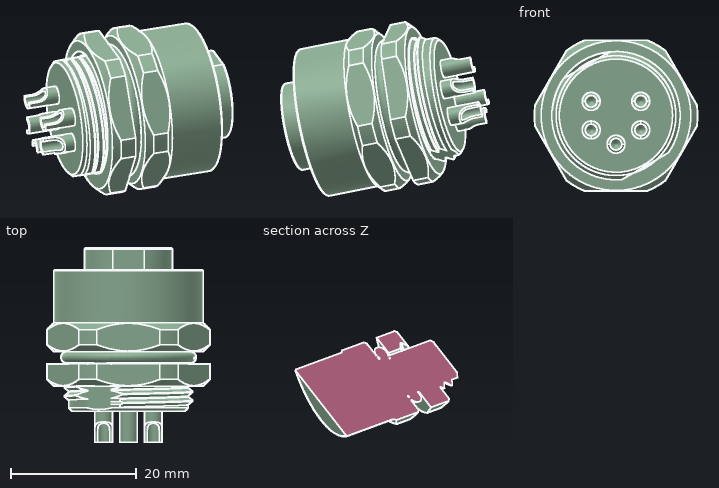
import cadquery as cq
import math


plate_face = 4.95
nut_face = 8.95
nut_height = 3.55
flange_face = 14.45
flange_height = 4.58
shell_end = 27.48
overall_length = 30.95

across_flats = 24.0
corner_diameter = 26.0
hex_chamfer = 1.08

shell_radius = 11.92
socket_radius = 7.03
socket_key_flat = 6.55
edge_chamfer = 0.2

ring_outer_radius = 10.77
ring_section_radius = 0.93

thread_root_radius = 9.53
thread_crest_radius = 10.2
thread_turns = 3.0
thread_length = 4.25
thread_pitch = thread_length / thread_turns
thread_base_width = 1.27
thread_crest_width = 0.14
thread_start_angle = 98.0
thread_start = 6.25
lead_in_width = 0.4
lead_in_overlap = 2.0
thread_embed = 0.05
foot_radius = thread_root_radius - thread_embed
shank_chamfer = 0.53
shank_flat_distance = 9.3
shank_flat_angles = (120.0, 300.0)

pin_circle_radius = 4.55
pin_radius = 1.42
pin_bore_radius = 0.93
pin_bore_depth = plate_face
pin_root_depth = 0.62
drill_point_angle = 118.0
cup_flat_length = 1.35
cup_blend_radius = 1.98
pin_layout = ((30.0, 90.0), (150.0, 90.0), (210.0, 180.0), (270.0, 270.0), (330.0, 0.0))


def place_on_axis(solid, start):
    """Turn a solid built along +Z so that it runs along +Y from the given station."""
    return solid.rotate((0, 0, 0), (1, 0, 0), -90).translate((0, start, 0))


def cylinder(radius, start, end):
    return place_on_axis(cq.Workplane("XY").circle(radius).extrude(end - start), start)


def hex_body(start, height, chamfer_far_side):
    """Hexagon with flats facing +Z and -Z, its corners rounded and turned down by 45 degrees."""
    across_corners = across_flats / math.cos(math.pi / 6)
    hexagon = cq.Workplane("XY").polygon(6, across_corners).extrude(height)
    blank = cq.Workplane("XY").circle(corner_diameter / 2).extrude(height)
    turned_faces = "<Z or >Z" if chamfer_far_side else "<Z"
    blank = blank.faces(turned_faces).chamfer(hex_chamfer)
    return place_on_axis(hexagon.intersect(blank), start)


def shell():
    return cylinder(shell_radius, flange_face, shell_end).faces(">Y").chamfer(edge_chamfer)


def socket():
    """Round boss with one flat on its +Z side."""
    boss = cylinder(socket_radius, shell_end, overall_length)
    width = 2 * socket_radius
    keep = (
        cq.Workplane("XY", origin=(0, overall_length / 2, socket_key_flat - width / 2))
        .box(width, overall_length, width)
    )
    return boss.intersect(keep).faces(">Y").chamfer(edge_chamfer)


def sealing_ring():
    centre_radius = ring_outer_radius - ring_section_radius
    centre_station = flange_face - ring_section_radius
    return (
        cq.Workplane("XY", origin=(centre_radius, centre_station, 0))
        .circle(ring_section_radius)
        .revolve(360, (-centre_radius, 0, 0), (-centre_radius, 1, 0))
    )


def thread():
    """V-shaped helical ridge, built along +Z and then laid along the connector axis."""
    flank_run = (thread_base_width - thread_crest_width) / (thread_crest_radius - thread_root_radius)
    foot_width = thread_base_width + thread_embed * flank_run
    helix = cq.Wire.makeHelix(thread_pitch, thread_length, thread_root_radius)
    ridge = (
        cq.Workplane("XZ")
        .polyline([
            (foot_radius, -foot_width / 2),
            (thread_crest_radius, -thread_crest_width / 2),
            (thread_crest_radius, thread_crest_width / 2),
            (foot_radius, foot_width / 2),
        ])
        .close()
        .sweep(cq.Workplane(obj=helix), isFrenet=True)
    )
    return place_on_axis(ridge, thread_start).rotate((0, 0, 0), (0, 1, 0), -thread_start_angle)


def lead_in():
    """Narrow rib that carries the start of the thread on to the edge of the shank flat."""
    sweep = shank_flat_angles[0] - thread_start_angle + lead_in_overlap
    return (
        cq.Workplane("XY")
        .moveTo(foot_radius, -lead_in_width / 2)
        .lineTo(thread_crest_radius, -lead_in_width / 2)
        .lineTo(thread_crest_radius, lead_in_width / 2)
        .lineTo(foot_radius, lead_in_width / 2)
        .close()
        .revolve(sweep, (0, 0, 0), (0, -1, 0))
        .rotate((0, 0, 0), (0, 1, 0), lead_in_overlap - thread_start_angle)
        .translate((0, thread_start, 0))
    )


def beyond_flat(angle):
    """Block holding everything outside the shank flat at the given angle."""
    return (
        cq.Workplane("XY", origin=(shank_flat_distance, 0, 0))
        .box(
            shank_flat_distance, 2 * flange_face, 2 * shank_flat_distance,
            centered=(False, True, True),
        )
        .rotate((0, 0, 0), (0, 1, 0), -angle)
    )


def cup_bore():
    """Drilled bore with a conical bottom, entering from the pin tip at Y = 0."""
    point_depth = pin_bore_radius / math.tan(math.radians(drill_point_angle / 2))
    return (
        cq.Workplane("XY")
        .polyline([
            (0, 0),
            (pin_bore_radius, 0),
            (pin_bore_radius, pin_bore_depth),
            (0, pin_bore_depth + point_depth),
        ])
        .close()
        .revolve(360, (0, 0, 0), (0, 1, 0))
    )


def pin_post():
    """Round post whose +X half is cut away at the tip and blended back out by an arc."""
    diagonal = cup_blend_radius * math.sqrt(0.5)
    cup_opening = (
        cq.Workplane("XY", origin=(0, 0, -pin_radius))
        .lineTo(0, cup_flat_length)
        .threePointArc(
            (cup_blend_radius - diagonal, cup_flat_length + diagonal),
            (cup_blend_radius, cup_flat_length + cup_blend_radius),
        )
        .lineTo(cup_blend_radius, 0)
        .close()
        .extrude(2 * pin_radius)
    )
    return cylinder(pin_radius, 0, plate_face + pin_root_depth).cut(cup_opening)


def place_pin(solid, angle, opening_direction):
    """Turn a pin so that its cup opens in the given direction and move it to its place."""
    x = pin_circle_radius * math.cos(math.radians(angle))
    z = pin_circle_radius * math.sin(math.radians(angle))
    return solid.rotate((0, 0, 0), (0, 1, 0), -opening_direction).translate((x, 0, z))


shank = cylinder(thread_root_radius, plate_face, flange_face).faces("<Y").chamfer(shank_chamfer)
shank = shank.union(lead_in())
ridge = thread()
nut = hex_body(nut_face, nut_height, False)
for flat_angle in shank_flat_angles:
    block = beyond_flat(flat_angle)
    nut = nut.cut(shank.intersect(block)).cut(ridge.intersect(block))
    shank = shank.cut(block)
    ridge = ridge.cut(block)

result = (
    hex_body(flange_face, flange_height, True)
    .union(shell())
    .union(socket())
    .union(shank.union(ridge).union(nut))
    .union(sealing_ring())
)
for pin_angle, opening_direction in pin_layout:
    result = result.union(place_pin(pin_post(), pin_angle, opening_direction))
    result = result.cut(place_pin(cup_bore(), pin_angle, opening_direction))